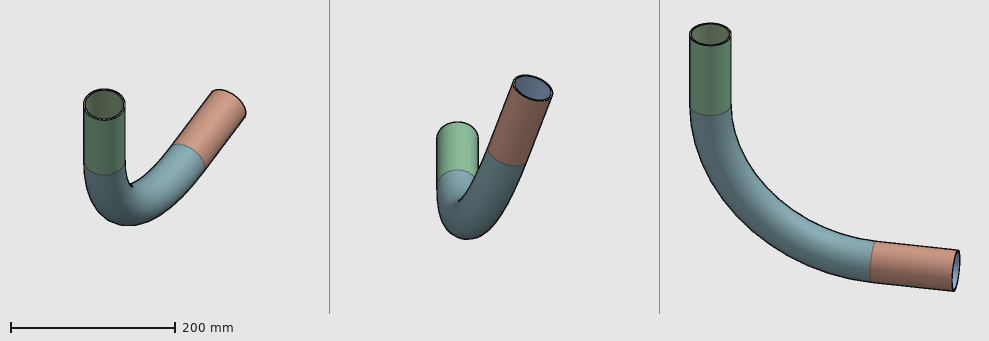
import cadquery as cq

overall_size = 330.2
inner_diameter = 46.5

bend_radius_ratio = 4.0
leg_length_ratio = 2.0

outer_diameter = overall_size / (leg_length_ratio + bend_radius_ratio + 0.5)
bend_radius = bend_radius_ratio * outer_diameter
leg_length = leg_length_ratio * outer_diameter


def tube_ring():
    """Tube cross-section at the open top end of the upright leg."""
    top_height = bend_radius + leg_length
    return (
        cq.Workplane("XY", origin=(0, 0, top_height))
        .circle(outer_diameter / 2)
        .circle(inner_diameter / 2)
    )


def centreline():
    """Down the upright leg, around the quarter bend, then out along +Y."""
    return (
        cq.Workplane("YZ")
        .moveTo(0, bend_radius + leg_length)
        .lineTo(0, bend_radius)
        .tangentArcPoint((bend_radius, 0), relative=False)
        .lineTo(bend_radius + leg_length, 0)
    )


result = tube_ring().sweep(centreline())